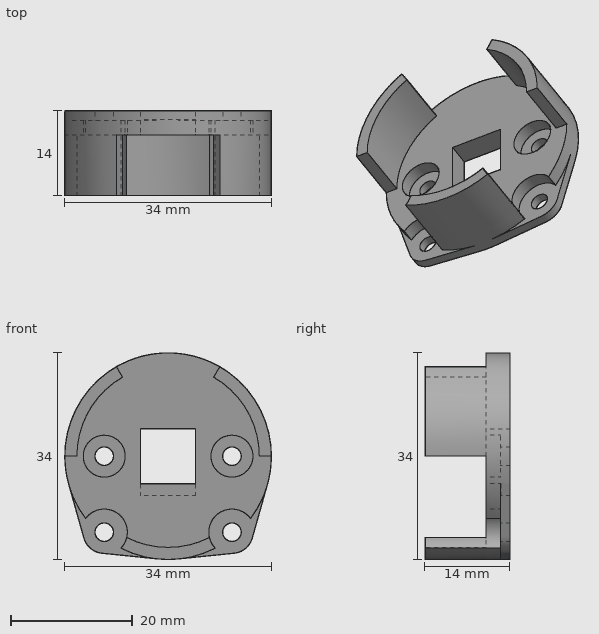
import cadquery as cq
import math

disc_radius = 17.0
plate_thickness = 4.0
overall_depth = 14.0
wall_thickness = 2.0
side_wall_start = 0.0
side_wall_end = 60.0

window_side = 9.0
relief_depth = 1.5
relief_drop = 2.0

screw_x = 10.5
ear_z = -12.5
screw_diameter = 3.0
counterbore_diameter = 6.9
ear_thickness = 1.6
ear_radius = 3.5
ear_pocket_radius = 3.8

wall_inner_radius = disc_radius - wall_thickness
ear_points = [(-screw_x, ear_z), (screw_x, ear_z)]
counterbore_points = [(-screw_x, 0), (screw_x, 0)]


def sketch_plane(depth):
    """XZ plane at the given distance in front of the back face."""
    return cq.Workplane("XZ", origin=(0, -depth, 0))


def polar(radius, degrees, centre=(0, 0)):
    angle = math.radians(degrees)
    return (centre[0] + radius * math.cos(angle), centre[1] + radius * math.sin(angle))


def ring_wall(start, end):
    """Arc-shaped wall flush with the disc rim, between two angles in degrees."""
    middle = (start + end) / 2
    return (
        sketch_plane(0)
        .moveTo(*polar(disc_radius, start))
        .threePointArc(polar(disc_radius, middle), polar(disc_radius, end))
        .lineTo(*polar(wall_inner_radius, end))
        .threePointArc(polar(wall_inner_radius, middle), polar(wall_inner_radius, start))
        .close()
        .extrude(overall_depth)
    )


def ear(side):
    """Thin ear on one side, bounded by tangents from the disc to its round corner."""
    centre = (side * screw_x, ear_z)
    direction = math.degrees(math.atan2(centre[1], centre[0]))
    spread = math.degrees(math.acos((disc_radius - ear_radius) / math.hypot(*centre)))
    first = direction - spread
    last = direction + spread
    return (
        sketch_plane(0)
        .moveTo(0, 0)
        .lineTo(*polar(disc_radius, first))
        .lineTo(*polar(ear_radius, first, centre))
        .threePointArc(polar(ear_radius, direction, centre), polar(ear_radius, last, centre))
        .lineTo(*polar(disc_radius, last))
        .close()
        .extrude(ear_thickness)
    )


def cylinders(points, radius, start, end):
    """Cylinders along the disc axis at the given points, between two depths."""
    return sketch_plane(start).pushPoints(points).circle(radius).extrude(end - start)


bottom_wall_end = math.degrees(math.atan2(ear_z, screw_x))
bottom_wall_start = -180 - bottom_wall_end

body = sketch_plane(0).circle(disc_radius).extrude(plate_thickness)
body = body.union(ring_wall(side_wall_start, side_wall_end))
body = body.union(ring_wall(180 - side_wall_end, 180 - side_wall_start))
body = body.union(ring_wall(bottom_wall_start, bottom_wall_end))
for side in (-1, 1):
    body = body.union(ear(side))

body = body.cut(cylinders(ear_points, ear_pocket_radius, ear_thickness, overall_depth))
body = body.cut(cylinders(counterbore_points, counterbore_diameter / 2, ear_thickness, plate_thickness))
body = body.cut(cylinders(ear_points + counterbore_points, screw_diameter / 2, 0, plate_thickness))

window = sketch_plane(0).rect(window_side, window_side).extrude(plate_thickness)
relief_centre_z = -(window_side + relief_drop) / 2
relief = sketch_plane(0).center(0, relief_centre_z).rect(window_side, relief_drop).extrude(relief_depth)
body = body.cut(window.union(relief))

result = body.clean()